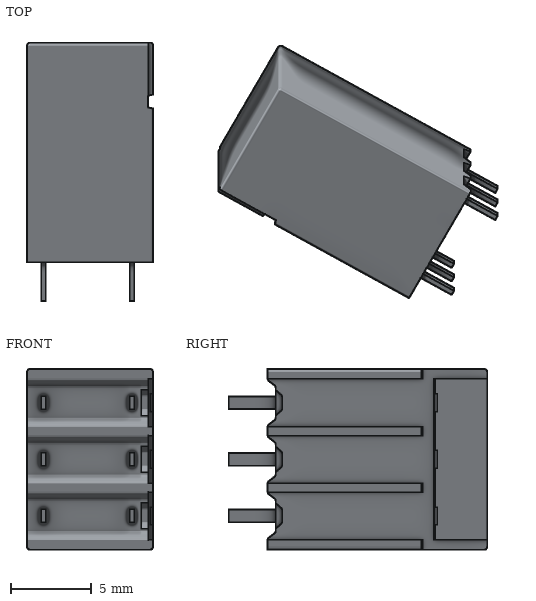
import cadquery as cq
import math

BODY_WIDTH = 7.8
BODY_DEPTH = 13.6
EDGE_RADIUS = 0.2

POLE_COUNT = 3
POLE_PITCH = 3.5
END_MARGIN = 2.1
BODY_HEIGHT = 2 * END_MARGIN + (POLE_COUNT - 1) * POLE_PITCH
POLE_CENTRES = [END_MARGIN + i * POLE_PITCH for i in range(POLE_COUNT)]

GROOVE_DEPTH = 0.5
GROOVE_MOUTH = 2.8
GROOVE_FLOOR = 2.05
GROOVE_RADIUS = 0.2

PIN_THICKNESS = 0.3
PIN_HEIGHT = 0.8
PIN_LENGTH = 2.4
PIN_CENTRES_X = (1.02, 6.5)
PIN_EMBED = 0.5

RELIEF = 0.3
RELIEF_X = BODY_WIDTH - RELIEF
CHANNEL_HEIGHT = 2.95
SLOT_FLOOR = 0.7
SLOT_DRAFT = 15.0
SLOT_SPREAD = RELIEF * math.tan(math.radians(SLOT_DRAFT))
PLATE_LENGTH = 3.3
PLATE_FRONT = BODY_DEPTH - PLATE_LENGTH
SLOT_FRONT = PLATE_FRONT - SLOT_FLOOR
PLATE_CORNER = 0.15
PLATE_EMBED = 0.3
PLATE_HEIGHT = (POLE_COUNT - 1) * POLE_PITCH + CHANNEL_HEIGHT

NICK_HEIGHT = 1.1
NICK_DEPTH = 0.16
NICK_ANGLE = 45.0

POCKET_WIDTH = 0.43
POCKET_DEPTH = 0.4
POCKET_MOUTH = 1.6
POCKET_FLOOR = 0.9
POCKET_RADIUS = 0.15

OVERCUT = 1.0


def extrude_along_x(outline_yz, x_start, x_end):
    profile = cq.Workplane("YZ").workplane(offset=x_start).polyline(outline_yz).close()
    return profile.extrude(x_end - x_start)


def extrude_along_z(outline_xy, z_centre, height):
    profile = cq.Workplane("XY").workplane(offset=z_centre - height / 2).polyline(outline_xy).close()
    return profile.extrude(height)


def box_between(low, high):
    size = [b - a for a, b in zip(low, high)]
    return cq.Workplane("XY").box(*size, centered=False).translate(low)


def housing():
    """Block with rounded edges everywhere except around the pin side."""
    block = box_between((0, 0, 0), (BODY_WIDTH, BODY_DEPTH, BODY_HEIGHT))
    return block.edges("not <Y").fillet(EDGE_RADIUS)


def cut_grooves(body):
    """Trapezoidal grooves with rounded mouths and floors."""
    for z in POLE_CENTRES:
        outline = [
            (0, z - GROOVE_MOUTH / 2),
            (GROOVE_DEPTH, z - GROOVE_FLOOR / 2),
            (GROOVE_DEPTH, z + GROOVE_FLOOR / 2),
            (0, z + GROOVE_MOUTH / 2),
        ]
        body = body.cut(extrude_along_x(outline, 0, BODY_WIDTH))
    reach = GROOVE_DEPTH + EDGE_RADIUS / 2
    groove_zone = cq.selectors.BoxSelector(
        (0, -reach, EDGE_RADIUS), (BODY_WIDTH, reach, BODY_HEIGHT - EDGE_RADIUS)
    )
    return body.edges("|X").edges(groove_zone).fillet(GROOVE_RADIUS)


def cut_rear_relief(body):
    """Lower the +X side behind the ribs, up to the drafted front wall of the cross slot."""
    outline = [
        (RELIEF_X, SLOT_FRONT),
        (BODY_WIDTH, SLOT_FRONT - SLOT_SPREAD),
        (BODY_WIDTH, BODY_DEPTH),
        (RELIEF_X, BODY_DEPTH),
    ]
    return body.cut(extrude_along_z(outline, BODY_HEIGHT / 2, BODY_HEIGHT))


def cut_channels(body):
    """Channels between the ribs, from the pin side to the cross slot."""
    for z in POLE_CENTRES:
        channel = box_between(
            (RELIEF_X, -OVERCUT, z - CHANNEL_HEIGHT / 2),
            (BODY_WIDTH + OVERCUT, SLOT_FRONT, z + CHANNEL_HEIGHT / 2),
        )
        body = body.cut(channel)
    return body


def cut_pockets(body):
    """Pocket in each groove floor with sloped ends and a rounded bottom."""
    bottom = GROOVE_DEPTH + POCKET_DEPTH
    for z in POLE_CENTRES:
        outline = [
            (GROOVE_DEPTH, z - POCKET_MOUTH / 2),
            (bottom, z - POCKET_FLOOR / 2),
            (bottom, z + POCKET_FLOOR / 2),
            (GROOVE_DEPTH, z + POCKET_MOUTH / 2),
        ]
        pocket = extrude_along_x(outline, RELIEF_X - POCKET_WIDTH, RELIEF_X)
        pocket = pocket.faces(">Y").edges("|X").fillet(POCKET_RADIUS)
        body = body.cut(pocket)
    return body


def rear_plate():
    """Raised plate with a drafted front wall, a rounded rear corner and bevelled nicks."""
    outline = [
        (RELIEF_X - PLATE_EMBED, PLATE_FRONT),
        (RELIEF_X, PLATE_FRONT),
        (BODY_WIDTH, PLATE_FRONT + SLOT_SPREAD),
        (BODY_WIDTH, BODY_DEPTH),
        (RELIEF_X - PLATE_EMBED, BODY_DEPTH),
    ]
    plate = extrude_along_z(outline, BODY_HEIGHT / 2, PLATE_HEIGHT)
    plate = plate.edges("|Z").edges(">X and >Y").fillet(PLATE_CORNER)

    nick_x = BODY_WIDTH - NICK_DEPTH
    nick_y = PLATE_FRONT + (RELIEF - NICK_DEPTH) * math.tan(math.radians(SLOT_DRAFT))
    nick_length = NICK_DEPTH * math.tan(math.radians(NICK_ANGLE))
    for z in POLE_CENTRES:
        nick = [(nick_x, nick_y), (BODY_WIDTH, nick_y), (BODY_WIDTH, nick_y + nick_length)]
        plate = plate.cut(extrude_along_z(nick, z, NICK_HEIGHT))
    return plate


def add_pins(body):
    """Flat pins, two in each groove."""
    for z in POLE_CENTRES:
        for x in PIN_CENTRES_X:
            pin = box_between(
                (x - PIN_THICKNESS / 2, -PIN_LENGTH, z - PIN_HEIGHT / 2),
                (x + PIN_THICKNESS / 2, GROOVE_DEPTH + PIN_EMBED, z + PIN_HEIGHT / 2),
            )
            body = body.union(pin)
    return body


body = cut_grooves(housing())
body = cut_rear_relief(body)
body = cut_channels(body)
body = cut_pockets(body)
body = body.union(rear_plate())
result = add_pins(body)